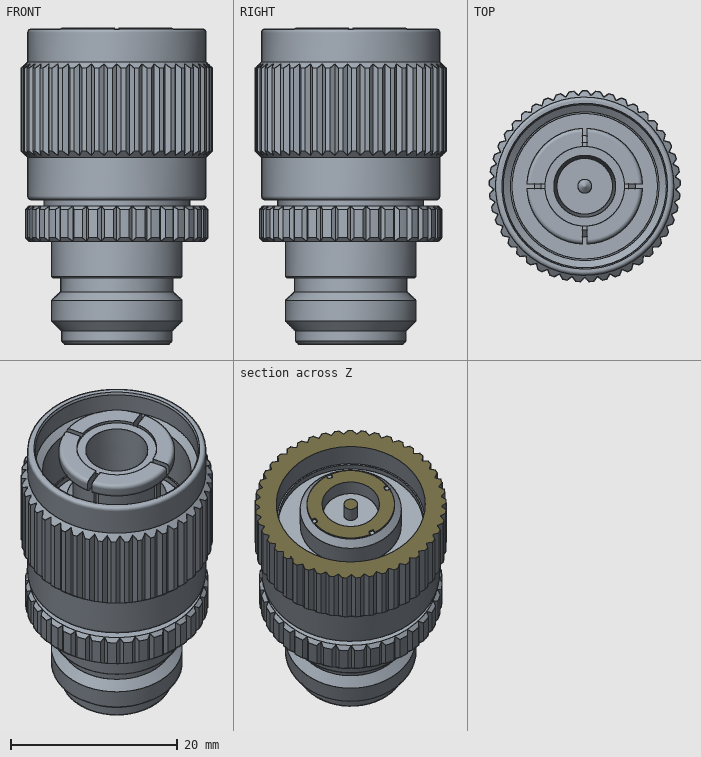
import cadquery as cq

HEIGHT = 38.02

TAIL_RADIUS = 6.65
TAIL_CHAMFER = 0.38
LOWER_CONE_BOTTOM = 1.6
BODY_RADIUS = 7.87
LAND_BOTTOM = 2.8
LAND_TOP = 5.3
GROOVE_RADIUS = 6.75
GROOVE_BOTTOM = 6.3
GROOVE_TOP = 8.0
BODY_CHAMFER = 0.2

RING_RADIUS = 11.0
RING_BOTTOM = 12.35
RING_TOP = 16.65
RING_CHAMFER = 0.45
RING_GROOVE_COUNT = 36
RING_GROOVE_DEPTH = 0.4

NECK_RADIUS = 8.8
SLEEVE_RADIUS = 10.72
SLEEVE_BOTTOM = 17.38
SLEEVE_TOP = 37.9
SLEEVE_EDGE_ROUND = 0.4
BAND_DIAMETER = 23.0
BAND_RADIUS = BAND_DIAMETER / 2
BAND_BOTTOM = 22.47
BAND_TOP = 33.95
BAND_CHAMFER_HEIGHT = 0.75
BAND_GROOVE_COUNT = 45
BAND_GROOVE_DEPTH = 0.55

MOUTH_RADIUS = 9.8
MOUTH_BEVEL_WIDTH = 0.15
MOUTH_BEVEL_HEIGHT = 0.3
MOUTH_CONE_TOP = 34.95
MOUTH_CONE_BOTTOM = 34.2
CAVITY_RADIUS = 8.95
CAVITY_FLOOR = 26.6
STEP_RADIUS = 8.75
STEP_HEIGHT = 0.75

LIP_RADIUS = 6.95
LIP_ROUND = 0.5
LIP_HEIGHT = 1.75
CONTACT_NECK_RADIUS = 5.3
CONTACT_FOOT_RADIUS = 6.1
SLOT_FLOOR = 30.4
SLOT_WIDTH = 0.57
SLOT_COUNT = 4

INSULATOR_RADIUS = 4.8
INSULATOR_TOP = 37.65
BORE_MOUTH_RADIUS = 3.73
BORE_FLOOR_RADIUS = 3.35
BORE_FLOOR = 28.5
PIN_RADIUS = 0.85
PIN_TIP = 33.45

OVERLAP = 0.38
FULL_TURN = 360


def cylinder(radius, bottom, top):
    return cq.Workplane("XY").workplane(offset=bottom).circle(radius).extrude(top - bottom)


def revolve(points):
    """Solid of revolution about Z from (radius, height) points."""
    return cq.Workplane("XZ").polyline(points).close().revolve(FULL_TURN, (0, 0), (0, 1))


def cut_knurl(blank, radius, depth, count, bottom, top):
    """Cut right-angled V grooves along Z, with one groove facing -Y."""
    reach = depth + OVERLAP
    groove = (
        cq.Workplane("XY")
        .workplane(offset=bottom)
        .polyline([(0, depth - radius), (-reach, -radius - OVERLAP), (reach, -radius - OVERLAP)])
        .close()
        .extrude(top - bottom)
    )
    pitch = FULL_TURN / count
    grooves = [groove.rotate((0, 0, 0), (0, 0, 1), i * pitch).val() for i in range(count)]
    return blank.cut(cq.Workplane(cq.Compound.makeCompound(grooves)))


def make_body():
    return revolve([
        (0, 0),
        (TAIL_RADIUS - TAIL_CHAMFER, 0),
        (TAIL_RADIUS, TAIL_CHAMFER),
        (TAIL_RADIUS, LOWER_CONE_BOTTOM),
        (BODY_RADIUS, LAND_BOTTOM),
        (BODY_RADIUS, LAND_TOP),
        (GROOVE_RADIUS, GROOVE_BOTTOM),
        (GROOVE_RADIUS, GROOVE_TOP),
        (BODY_RADIUS - BODY_CHAMFER, GROOVE_TOP),
        (BODY_RADIUS, GROOVE_TOP + BODY_CHAMFER),
        (BODY_RADIUS, RING_BOTTOM),
        (NECK_RADIUS, RING_BOTTOM),
        (NECK_RADIUS, SLEEVE_BOTTOM),
        (0, SLEEVE_BOTTOM),
    ])


def make_ring():
    blank = cylinder(RING_RADIUS, RING_BOTTOM, RING_TOP).edges().chamfer(RING_CHAMFER)
    return cut_knurl(blank, RING_RADIUS, RING_GROOVE_DEPTH, RING_GROOVE_COUNT, RING_BOTTOM, RING_TOP)


def make_band():
    blank = revolve([
        (0, BAND_BOTTOM),
        (SLEEVE_RADIUS, BAND_BOTTOM),
        (BAND_RADIUS, BAND_BOTTOM + BAND_CHAMFER_HEIGHT),
        (BAND_RADIUS, BAND_TOP - BAND_CHAMFER_HEIGHT),
        (SLEEVE_RADIUS, BAND_TOP),
        (0, BAND_TOP),
    ])
    return cut_knurl(blank, BAND_RADIUS, BAND_GROOVE_DEPTH, BAND_GROOVE_COUNT, BAND_BOTTOM, BAND_TOP)


def make_cavity():
    step_top = CAVITY_FLOOR + STEP_HEIGHT
    return revolve([
        (0, CAVITY_FLOOR),
        (STEP_RADIUS, CAVITY_FLOOR),
        (STEP_RADIUS, step_top),
        (CAVITY_RADIUS, step_top),
        (CAVITY_RADIUS, MOUTH_CONE_BOTTOM),
        (MOUTH_RADIUS, MOUTH_CONE_TOP),
        (MOUTH_RADIUS, SLEEVE_TOP - MOUTH_BEVEL_HEIGHT),
        (MOUTH_RADIUS + MOUTH_BEVEL_WIDTH, SLEEVE_TOP),
        (0, SLEEVE_TOP),
    ])


def make_sleeve():
    tube = cylinder(SLEEVE_RADIUS, SLEEVE_BOTTOM, SLEEVE_TOP).edges().fillet(SLEEVE_EDGE_ROUND)
    return tube.union(make_band()).cut(make_cavity())


def make_contact():
    """Rounded lip on a slotted neck, standing on a wider conical foot."""
    lip = cylinder(LIP_RADIUS, HEIGHT - LIP_HEIGHT, HEIGHT).edges().fillet(LIP_ROUND)
    foot_top = SLOT_FLOOR - (CONTACT_FOOT_RADIUS - CONTACT_NECK_RADIUS)
    neck = revolve([
        (0, CAVITY_FLOOR),
        (CONTACT_FOOT_RADIUS, CAVITY_FLOOR),
        (CONTACT_FOOT_RADIUS, foot_top),
        (CONTACT_NECK_RADIUS, SLOT_FLOOR),
        (CONTACT_NECK_RADIUS, HEIGHT - LIP_HEIGHT),
        (0, HEIGHT - LIP_HEIGHT),
    ])
    contact = lip.union(neck)
    slot_reach = LIP_RADIUS + OVERLAP
    slot = cq.Workplane("XY").box(slot_reach, SLOT_WIDTH, HEIGHT - SLOT_FLOOR, centered=(False, True, False))
    slot = slot.translate((0, 0, SLOT_FLOOR))
    for i in range(SLOT_COUNT):
        contact = contact.cut(slot.rotate((0, 0, 0), (0, 0, 1), i * FULL_TURN / SLOT_COUNT))
    return contact.cut(cylinder(INSULATOR_RADIUS, CAVITY_FLOOR, HEIGHT))


def make_insulator():
    insulator = cylinder(INSULATOR_RADIUS, CAVITY_FLOOR, INSULATOR_TOP)
    bore = revolve([
        (0, BORE_FLOOR),
        (BORE_FLOOR_RADIUS, BORE_FLOOR),
        (BORE_MOUTH_RADIUS, INSULATOR_TOP),
        (0, INSULATOR_TOP),
    ])
    pin = revolve([
        (0, BORE_FLOOR),
        (PIN_RADIUS, BORE_FLOOR),
        (PIN_RADIUS, PIN_TIP - PIN_RADIUS),
        (0, PIN_TIP),
    ])
    return insulator.cut(bore).union(pin)


result = (
    make_body()
    .union(make_ring())
    .union(make_sleeve())
    .union(make_contact())
    .union(make_insulator())
)